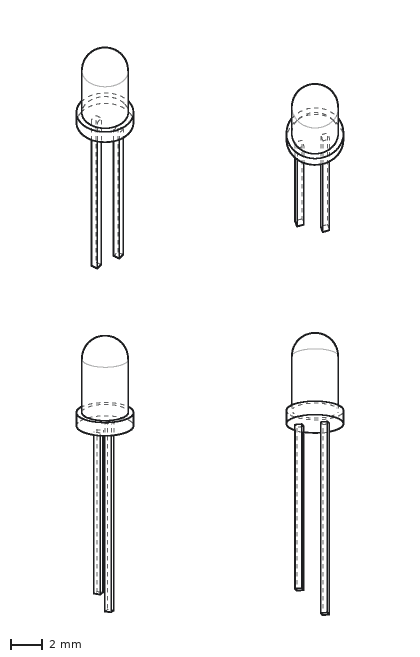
import cadquery as cq

total_height = 19.1

flange_diameter = 3.69
flange_height = 0.92
lens_diameter = 3.0
lens_radius = lens_diameter / 2
housing_height = 6.11
dome_base_height = housing_height - lens_radius

lead_width = 0.45
lead_pitch = 1.74
lead_pair_offset = 0.2
long_lead_length = total_height - housing_height
short_lead_length = 11.15


def make_housing():
    """Flange, cylindrical lens and hemispherical dome, revolved about Z."""
    flange_radius = flange_diameter / 2
    dome_side = lens_radius * 0.5 ** 0.5
    return (
        cq.Workplane("XZ")
        .lineTo(flange_radius, 0)
        .lineTo(flange_radius, flange_height)
        .lineTo(lens_radius, flange_height)
        .lineTo(lens_radius, dome_base_height)
        .threePointArc((dome_side, dome_base_height + dome_side), (0, housing_height))
        .close()
        .revolve(360, (0, 0), (0, 1))
    )


def make_lead(x_position, length):
    """Square lead hanging from the underside of the flange."""
    return (
        cq.Workplane("XY")
        .center(x_position, 0)
        .rect(lead_width, lead_width)
        .extrude(-length)
    )


housing = make_housing()
lead_layout = [
    (lead_pair_offset - lead_pitch / 2, long_lead_length),
    (lead_pair_offset + lead_pitch / 2, short_lead_length),
]
leads = [make_lead(x_position, length).val() for x_position, length in lead_layout]

result = cq.Compound.makeCompound([housing.val(), *leads])